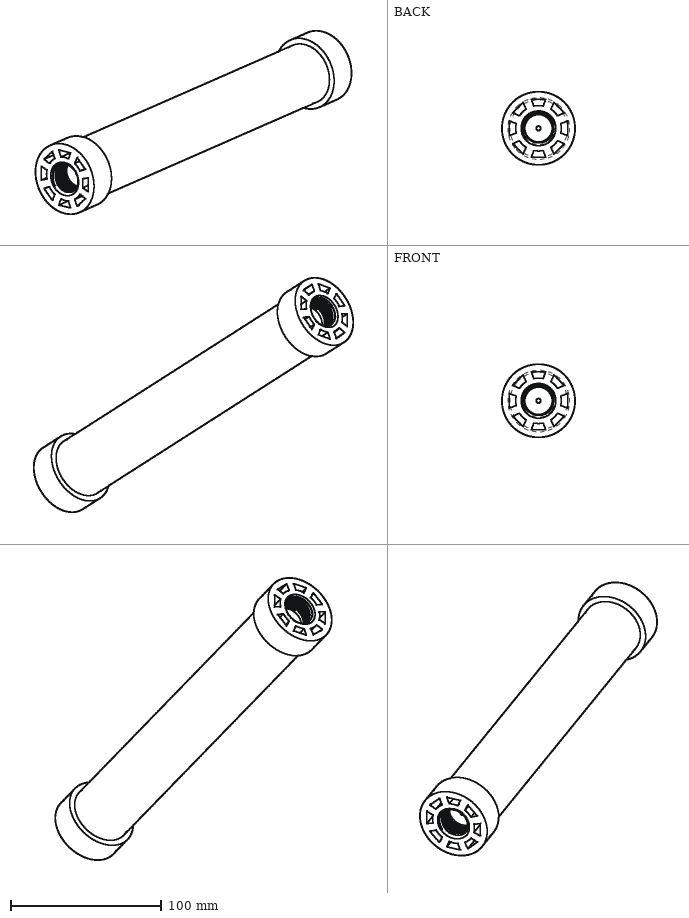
import cadquery as cq
import math

overall_length = 285.8
cap_diameter = 49.0
cap_length = 19.5
tube_diameter = 41.1
tube_bore = 38.3
tube_length = overall_length - 2 * cap_length

port_diameter = 18.3
port_depth = 14.3
thread_root_diameter = 21.7
thread_pitch = 1.83
thread_groove_mouth = 1.7
thread_overlap = 0.3
port_mouth_diameter = 23.1
flow_hole_diameter = 3.0

pocket_count = 8
pocket_outer_distance = 19.5
pocket_outer_width = 9.7
pocket_inner_radius = 15.1
pocket_inner_width = 6.3
pocket_depth = 11.5


def cylinder(diameter, length):
    """Cylinder from the XY plane upward, around Z."""
    return cq.Workplane("XY").circle(diameter / 2).extrude(length)


def pocket_ring():
    """Cutter for the pockets, spaced evenly around the port."""
    inner_corner_distance = math.sqrt(pocket_inner_radius**2 - (pocket_inner_width / 2) ** 2)
    pocket = (
        cq.Workplane("XY")
        .moveTo(pocket_outer_distance, -pocket_outer_width / 2)
        .lineTo(pocket_outer_distance, pocket_outer_width / 2)
        .lineTo(inner_corner_distance, pocket_inner_width / 2)
        .threePointArc((pocket_inner_radius, 0), (inner_corner_distance, -pocket_inner_width / 2))
        .close()
        .extrude(pocket_depth)
    )
    ring = cq.Workplane("XY")
    for index in range(pocket_count):
        ring.add(pocket.rotate((0, 0, 0), (0, 0, 1), index * 360 / pocket_count))
    return ring.combine()


def port_mouth():
    """Cutter for the 45 degree countersink that leads into the port."""
    depth = (port_mouth_diameter - port_diameter) / 2
    return cq.Workplane("XY").add(
        cq.Solid.makeCone(port_mouth_diameter / 2, port_diameter / 2, depth)
    )


def port_thread():
    """Cutter for the helical thread groove: a triangle swept along the port wall."""
    inner_radius = port_diameter / 2 - thread_overlap
    root_radius = thread_root_diameter / 2
    helix_height = port_depth - thread_pitch
    helix = cq.Wire.makeHelix(thread_pitch, helix_height, inner_radius)
    return (
        cq.Workplane("XZ")
        .moveTo(inner_radius, -thread_groove_mouth / 2)
        .lineTo(root_radius, 0)
        .lineTo(inner_radius, thread_groove_mouth / 2)
        .close()
        .sweep(cq.Workplane("XY").add(helix), isFrenet=True)
    )


def make_cap():
    """End cap with its outer face on the XY plane and its body above it."""
    return (
        cylinder(cap_diameter, cap_length)
        .cut(pocket_ring())
        .cut(cylinder(flow_hole_diameter, cap_length))
        .cut(cylinder(port_diameter, port_depth))
        .cut(port_thread())
        .cut(port_mouth())
    )


def make_tube():
    """Plain tube that runs between the inner faces of the two caps."""
    tube = cylinder(tube_diameter, tube_length).cut(cylinder(tube_bore, tube_length))
    return tube.rotate((0, 0, 0), (1, 0, 0), -90).translate((0, -tube_length / 2, 0))


tube = make_tube()

front_cap = make_cap().rotate((0, 0, 0), (1, 0, 0), -90).translate((0, -overall_length / 2, 0))
caps = []
for turn in (0, 180):
    caps.append(front_cap.rotate((0, 0, 0), (0, 0, 1), turn).val())

result = cq.Compound.makeCompound([tube.val(), *caps])